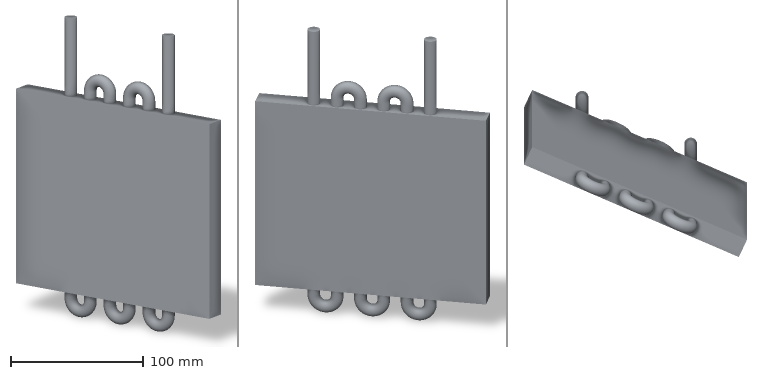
import cadquery as cq

plate_width = 177.9
plate_thickness = 15.2
plate_height = 152.5

tube_diameter = 9.5
tube_radius = tube_diameter / 2
run_count = 6
run_pitch = 18.0
bend_radius = run_pitch / 2
bend_leg = 6.3
end_length = 61.0
tube_depth = 6.0

back_y = plate_thickness / 2
tube_y = back_y - tube_depth
run_xs = [(i - (run_count - 1) / 2) * run_pitch for i in range(run_count)]


def make_groove_cutter(x):
    """Full-height groove with a round floor, open at the back face."""
    round_floor = (
        cq.Workplane("XY").center(x, tube_y).circle(tube_radius).extrude(plate_height)
    )
    straight_walls = (
        cq.Workplane("XY")
        .center(x, tube_y + tube_depth / 2)
        .rect(tube_diameter, tube_depth)
        .extrude(plate_height)
    )
    return round_floor.union(straight_walls)


def make_plate():
    """Flat plate with one groove for every straight run of the tube."""
    plate = cq.Workplane("XY").box(
        plate_width, plate_thickness, plate_height, centered=(True, True, False)
    )
    for x in run_xs:
        plate = plate.cut(make_groove_cutter(x))
    return plate


def make_tube():
    """One continuous bar: straight runs joined by half-round bends."""
    end_z = plate_height + end_length
    upper_bend_z = plate_height + bend_leg
    lower_bend_z = -bend_leg

    path = cq.Workplane("XZ", origin=(0, tube_y, 0)).moveTo(run_xs[0], end_z)
    for i in range(run_count - 1):
        goes_down = i % 2 == 0
        bend_z = lower_bend_z if goes_down else upper_bend_z
        apex_z = bend_z - bend_radius if goes_down else bend_z + bend_radius
        path = path.lineTo(run_xs[i], bend_z)
        path = path.threePointArc(
            (run_xs[i] + bend_radius, apex_z), (run_xs[i + 1], bend_z)
        )
    path = path.lineTo(run_xs[-1], end_z)

    section = cq.Workplane("XY", origin=(run_xs[0], tube_y, end_z)).circle(tube_radius)
    return section.sweep(path)


def make_filler(x):
    """Strip that closes a groove behind the tube, flush with the back face."""
    strip = (
        cq.Workplane("XY")
        .moveTo(x - tube_radius, tube_y)
        .threePointArc((x, tube_y + tube_radius), (x + tube_radius, tube_y))
        .lineTo(x + tube_radius, back_y)
        .lineTo(x - tube_radius, back_y)
        .close()
    )
    return strip.extrude(plate_height)


plate = make_plate()
tube = make_tube()
fillers = [make_filler(x) for x in run_xs]

result = cq.Compound.makeCompound(
    [plate.val(), tube.val(), *[filler.val() for filler in fillers]]
)